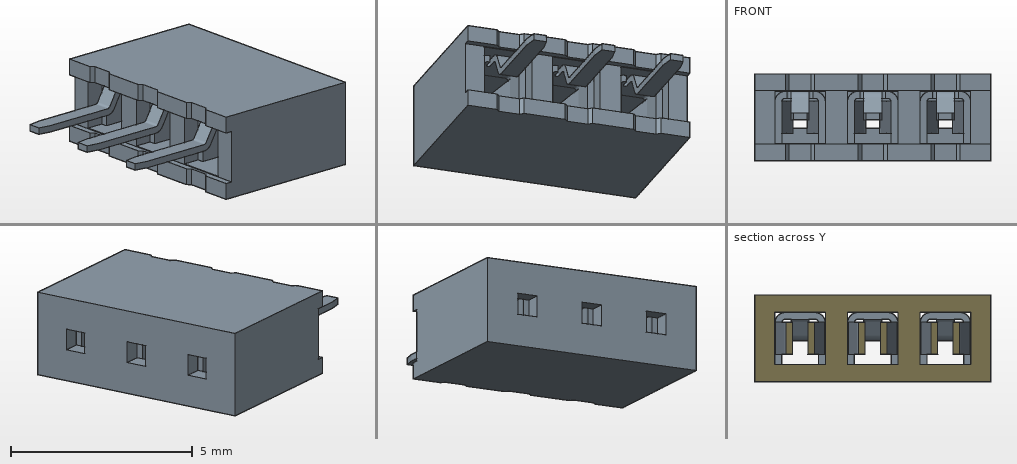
import cadquery as cq
import math

contact_count = 3
pitch = 2.0
body_width = 6.5
body_depth = 4.4
body_height = 2.4

channel_depth = 0.2
channel_height = 1.47

notch_depth = 0.1
notch_inner_half = 0.3
notch_outer_half = notch_inner_half + notch_depth

pocket_width = 1.39
pocket_height = 1.43
end_wall = 0.5
opening_size = 0.6

sheet = 0.19
contact_front = channel_depth + 0.5
contact_back = channel_depth + 1.4
inner_corner = 0.1
outer_corner = inner_corner + sheet

relief_half_width = 0.355
relief_depth = 0.3

spring_height = 0.89
spring_gap = 0.38
spring_lip_gap = 0.46
spring_lip_length = 0.15
spring_back = body_depth - end_wall - 0.1

pin_width = 0.5
pin_length = 2.4
pin_top = 0.12
pin_tip_width = 0.37
pin_taper_length = 0.39
bend_angle = math.radians(60)
lower_bend_start = channel_depth - 0.13
lower_bend_radius = 0.1
upper_bend_radius = 0.17

pocket_top = pocket_height / 2
pocket_back = body_depth - end_wall
leg_inner_x = pocket_width / 2 - sheet


def block(x_size, y_start, y_end, z_low, z_high):
    """Box centred on X between the given Y and Z limits."""
    return (
        cq.Workplane("XY")
        .box(x_size, y_end - y_start, z_high - z_low, centered=(True, False, False))
        .translate((0, y_start, z_low))
    )


def plan_prism(points, z_low, z_high):
    """Straight-sided XY outline extruded between two heights."""
    return cq.Workplane("XY").workplane(offset=z_low).polyline(points).close().extrude(z_high - z_low)


def make_rail_notch():
    """Flared notch cut through both rails."""
    points = [
        (-notch_outer_half, 0),
        (-notch_inner_half, notch_depth),
        (notch_inner_half, notch_depth),
        (notch_outer_half, 0),
    ]
    return plan_prism(points, -body_height / 2, body_height / 2)


def make_cavity():
    """Everything removed from the housing at one contact position."""
    pocket = block(pocket_width, channel_depth, pocket_back, -pocket_top, pocket_top)
    opening = block(opening_size, pocket_back, body_depth, -opening_size / 2, opening_size / 2)
    return pocket.union(opening).union(make_rail_notch())


def make_relief_slot(side):
    """Round-ended slot through the web beside the tab; side is -1 or 1."""
    tab_half = pin_width / 2
    slot_radius = (relief_half_width - tab_half) / 2
    slot_centre = side * (tab_half + slot_radius)
    round_start = contact_front + relief_depth - slot_radius
    straight = block(2 * slot_radius, contact_front, round_start, pocket_top - sheet, pocket_top)
    round_end = (
        cq.Workplane("XY", origin=(0, round_start, pocket_top - sheet)).circle(slot_radius).extrude(sheet)
    )
    return straight.union(round_end).translate((slot_centre, 0, 0))


def make_contact_frame():
    """U-shaped sheet frame, open at the bottom, with relief slots in its web."""
    outer = block(pocket_width, contact_front, contact_back, -pocket_top, pocket_top)
    outer = outer.edges("|Y and >Z").fillet(outer_corner)
    inner = block(2 * leg_inner_x, contact_front, contact_back, -pocket_top, pocket_top - sheet)
    inner = inner.edges("|Y and >Z").fillet(inner_corner)
    frame = outer.cut(inner)
    for side in (-1, 1):
        frame = frame.cut(make_relief_slot(side))
    return frame


def make_spring(side):
    """Flat spring leaning inward from one leg to a sharper bent lip; side is -1 or 1."""
    tip_x = spring_gap / 2
    lip_x = spring_lip_gap / 2
    lip_start = spring_back - spring_lip_length
    points = [
        (side * leg_inner_x, contact_back - sheet),
        (side * lip_x, lip_start),
        (side * tip_x, spring_back),
        (side * (tip_x + sheet), spring_back),
        (side * (lip_x + sheet), lip_start),
        (side * (leg_inner_x + sheet), contact_back - sheet),
    ]
    return plan_prism(points, -spring_height / 2, spring_height / 2)


def make_pin():
    """Pin, S-bend and tab as one strip, tapered in plan at its tip."""
    sine = math.sin(bend_angle)
    cosine = math.cos(bend_angle)
    lower_outer = lower_bend_radius + sheet
    upper_outer = upper_bend_radius + sheet
    pin_bottom = pin_top - sheet

    lower_z = pin_top + lower_bend_radius
    upper_z = pocket_top - upper_outer
    slope_rise = (upper_z + upper_outer * cosine) - (lower_z - lower_bend_radius * cosine)
    slope_run = slope_rise / math.tan(bend_angle)
    lower_y = lower_bend_start
    upper_y = lower_y + (lower_bend_radius + upper_outer) * sine + slope_run
    tab_end = contact_front + relief_depth + sheet

    def lower_point(radius, angle):
        return (lower_y + radius * math.sin(angle), lower_z - radius * math.cos(angle))

    def upper_point(radius, angle):
        return (upper_y - radius * math.sin(angle), upper_z + radius * math.cos(angle))

    half_bend = bend_angle / 2
    strip = (
        cq.Workplane("YZ", origin=(-pin_width / 2, 0, 0))
        .moveTo(-pin_length, pin_top)
        .lineTo(lower_y, pin_top)
        .threePointArc(lower_point(lower_bend_radius, half_bend), lower_point(lower_bend_radius, bend_angle))
        .lineTo(*upper_point(upper_outer, bend_angle))
        .threePointArc(upper_point(upper_outer, half_bend), upper_point(upper_outer, 0))
        .lineTo(tab_end, pocket_top)
        .lineTo(tab_end, pocket_top - sheet)
        .lineTo(upper_y, pocket_top - sheet)
        .threePointArc(upper_point(upper_bend_radius, half_bend), upper_point(upper_bend_radius, bend_angle))
        .lineTo(*lower_point(lower_outer, bend_angle))
        .threePointArc(lower_point(lower_outer, half_bend), lower_point(lower_outer, 0))
        .lineTo(-pin_length, pin_bottom)
        .close()
        .extrude(pin_width)
    )
    taper_start = -pin_length + pin_taper_length
    plan = [
        (-pin_tip_width / 2, -pin_length),
        (pin_tip_width / 2, -pin_length),
        (pin_width / 2, taper_start),
        (pin_width / 2, tab_end),
        (-pin_width / 2, tab_end),
        (-pin_width / 2, taper_start),
    ]
    return strip.intersect(plan_prism(plan, pin_bottom, pocket_top))


def make_contact():
    contact = make_contact_frame().union(make_pin())
    for side in (-1, 1):
        contact = contact.union(make_spring(side))
    return contact


housing = block(body_width, 0, body_depth, -body_height / 2, body_height / 2)
housing = housing.cut(block(body_width, 0, channel_depth, -channel_height / 2, channel_height / 2))

cavity = make_cavity()
contact = make_contact()
result = housing
for index in range(contact_count):
    x_position = (index - (contact_count - 1) / 2) * pitch
    result = result.cut(cavity.translate((x_position, 0, 0)))
    result = result.union(contact.translate((x_position, 0, 0)))